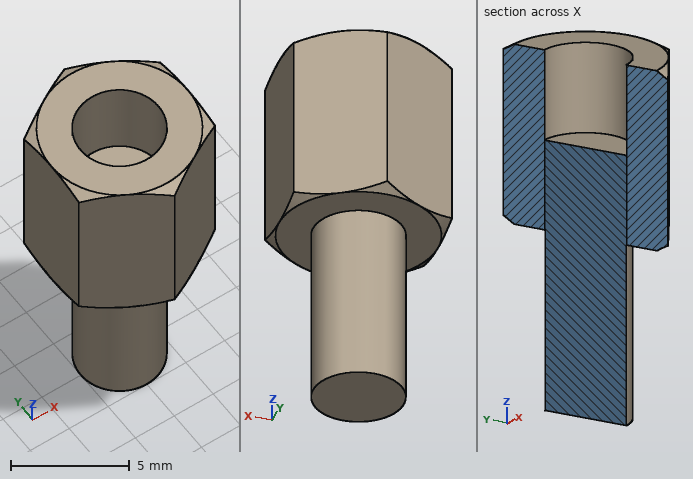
import cadquery as cq
import math

total_length = 16.0
sleeve_length = total_length / 2
across_corners = 8.08
stud_diameter = 4.0
chamfer_angle = 30.0
seat_depth = sleeve_length / 2

corner_radius = across_corners / 2
flat_radius = corner_radius * math.cos(math.pi / 6)
stud_projection = total_length - sleeve_length
chamfer_drop = (corner_radius - flat_radius) * math.tan(math.radians(chamfer_angle))


def chamfer_envelope():
    """Revolved blank whose conical ends trim the hexagon corners."""
    return (
        cq.Workplane("XZ")
        .moveTo(0, 0)
        .lineTo(flat_radius, 0)
        .lineTo(corner_radius, chamfer_drop)
        .lineTo(corner_radius, sleeve_length - chamfer_drop)
        .lineTo(flat_radius, sleeve_length)
        .lineTo(0, sleeve_length)
        .close()
        .revolve(360, (0, 0, 0), (0, 1, 0))
    )


def make_sleeve():
    """Hexagonal sleeve, corners on the Y axis, bored through along Z."""
    hexagon = (
        cq.Workplane("XY")
        .transformed(rotate=(0, 0, 90))
        .polygon(6, across_corners)
        .extrude(sleeve_length)
    )
    bore = cq.Workplane("XY").circle(stud_diameter / 2).extrude(sleeve_length)
    return hexagon.intersect(chamfer_envelope()).cut(bore)


def make_stud():
    """Plain round stud seated in the lower part of the bore."""
    return (
        cq.Workplane("XY")
        .workplane(offset=-stud_projection)
        .circle(stud_diameter / 2)
        .extrude(stud_projection + seat_depth)
    )


sleeve = make_sleeve()
stud = make_stud()

result = cq.Compound.makeCompound([sleeve.solids().val(), stud.val()])